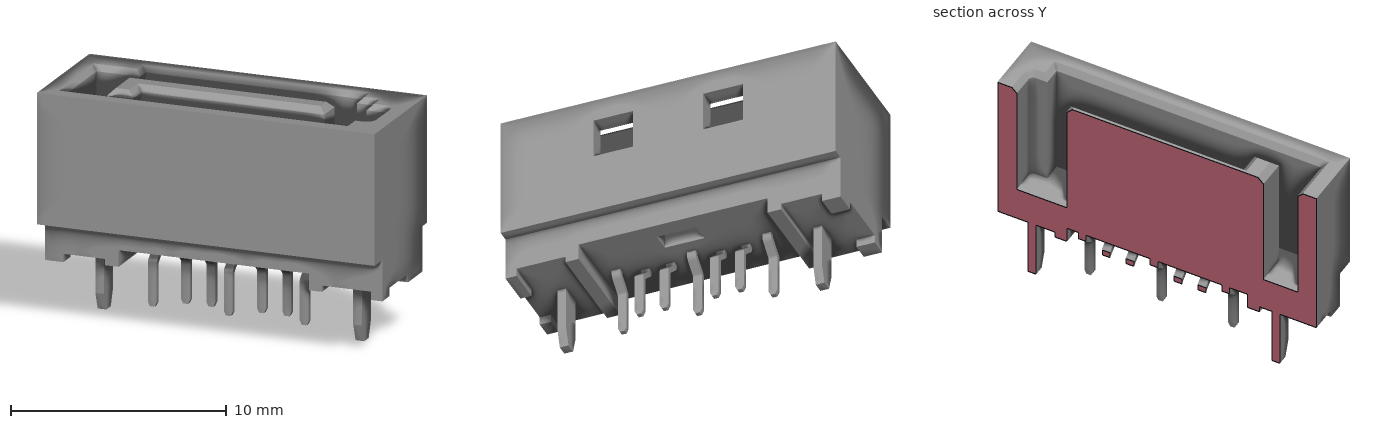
import cadquery as cq
import math


length = 16.9
width = 6.45
rim_z = 8.42
front_ledge_z = 2.01
front_ledge_depth = 0.96
rear_ledge_z = 2.21
rear_ledge_depth = 0.57
front_y = -width / 2
rear_y = width / 2
base_front_y = front_y + front_ledge_depth
base_rear_y = rear_y - rear_ledge_depth

end_relief_z = 0.4
inner_foot_z = 0.1
center_relief_z = 0.91
left_foot_length = 0.93
right_foot_length = 0.55
left_relief_end_x = -5.45
right_relief_start_x = 5.42
center_relief_half = 4.77
foot_gap_front_y = -1.39
left_gap_rear_y = 1.54
right_gap_rear_y = 0.9

floor_z = rear_ledge_z
lead_in = 0.27
cavity_left_x = -7.45
cavity_right_x = 6.55
cavity_front_y = -2.26
cavity_step_y = 1.65
cavity_rear_y = 2.35
rear_bay_left_x = -5.27
rear_bay_right_x = 5.6
rear_shoulder_x = 6.4
key_right_x = 7.42
key_front_y = -1.35
key_rear_y = 0.83
key_radius = 0.24

tongue_left_x = -5.65
tongue_right_x = 4.8
tongue_rear_y = 0.85
tongue_thickness = 1.28
tongue_leg_length = 2.32
tongue_leg_width = 1.28
tongue_chamfer = 0.3

floor_slot_left_x = -0.81
floor_slot_length = 2.0
floor_slot_width = 0.96
window_width = 2.01
window_height = 2.01
window_center_x = 2.77
window_top_z = 7.28

contacts_x = 0.17
contacts_y = -0.27
embed = 0.17

tail_count = 7
tail_pitch = 1.27
tail_width = 0.44
tail_thickness = 0.25
tail_tip_z = -2.1
tail_tip_height = 0.2
tail_tip_inset = 0.1
tail_row_offset = 0.49
tail_jog = 0.75
tail_bend_start_z = 0.68
tail_bend_end_z = 0.05
tail_upper_inner_radius = 0.1
tail_upper_outer_radius = 0.44
tail_lower_radius = 0.19

lock_spacing = 12.91
lock_thickness = 0.44
lock_width = 1.12
lock_tip_width = 0.54
lock_taper_z = -1.79
lock_tip_z = -2.64


def box(x0, x1, y0, y1, z0, z1):
    return cq.Workplane("XY").box(x1 - x0, y1 - y0, z1 - z0, centered=False).translate((x0, y0, z0))


def make_block():
    """Housing block with its stepped end profile, narrower at the base."""
    profile = [
        (base_front_y, 0),
        (base_rear_y, 0),
        (base_rear_y, rear_ledge_z),
        (rear_y, rear_ledge_z),
        (rear_y, rim_z),
        (front_y, rim_z),
        (front_y, front_ledge_z),
        (base_front_y, front_ledge_z),
    ]
    return cq.Workplane("YZ").polyline(profile).close().extrude(length / 2, both=True)


def make_base_reliefs():
    """Material removed under the base to leave four corner feet and two inner feet."""
    left_x = -length / 2
    right_x = length / 2
    left_foot_x = left_x + left_foot_length
    right_foot_x = right_x - right_foot_length
    across = (front_y, rear_y)
    reliefs = box(left_foot_x, left_relief_end_x, *across, 0, end_relief_z)
    reliefs = reliefs.union(box(right_relief_start_x, right_foot_x, *across, 0, end_relief_z))
    reliefs = reliefs.union(box(left_foot_x, right_foot_x, *across, 0, inner_foot_z))
    reliefs = reliefs.union(box(-center_relief_half, center_relief_half, *across, 0, center_relief_z))
    reliefs = reliefs.union(box(left_x, left_foot_x, foot_gap_front_y, left_gap_rear_y, 0, end_relief_z))
    return reliefs.union(box(right_foot_x, right_x, foot_gap_front_y, right_gap_rear_y, 0, end_relief_z))


def make_cavity():
    """Keyed cavity from the rim down to the floor, with a rounded key pocket at its right end."""
    outline = [
        (cavity_left_x, cavity_front_y),
        (cavity_right_x, cavity_front_y),
        (cavity_right_x, key_front_y),
        (key_right_x, key_front_y),
        (key_right_x, key_rear_y),
        (rear_shoulder_x, key_rear_y),
        (rear_shoulder_x, cavity_step_y),
        (rear_bay_right_x, cavity_step_y),
        (rear_bay_right_x, cavity_rear_y),
        (rear_bay_left_x, cavity_rear_y),
        (rear_bay_left_x, cavity_step_y),
        (cavity_left_x, cavity_step_y),
    ]
    shaft = cq.Workplane("XY").workplane(offset=floor_z).polyline(outline).close().extrude(rim_z - floor_z)
    return shaft.edges("|Z and >X").fillet(key_radius)


def add_lead_in(shell):
    """Chamfer the cavity's edges at the rim, leaving the four outer rim edges sharp."""
    return shell.faces(">Z").edges("not (<X or >X or <Y or >Y)").chamfer(lead_in)


def make_tongue():
    """L-shaped tongue rising from the cavity floor to the rim, chamfered around its top."""
    bar_front_y = tongue_rear_y - tongue_thickness
    leg_front_y = tongue_rear_y - tongue_leg_length
    leg_right_x = tongue_left_x + tongue_leg_width
    bottom_z = floor_z - embed
    bar = box(tongue_left_x, tongue_right_x, bar_front_y, tongue_rear_y, bottom_z, rim_z)
    leg = box(tongue_left_x, leg_right_x, leg_front_y, tongue_rear_y, bottom_z, rim_z)
    return bar.union(leg).faces(">Z").chamfer(tongue_chamfer)


def make_openings():
    """Slot through the floor behind the tongue and two windows through the rear wall."""
    openings = box(
        floor_slot_left_x, floor_slot_left_x + floor_slot_length,
        tongue_rear_y, tongue_rear_y + floor_slot_width,
        0, floor_z,
    )
    for center_x in (-window_center_x, window_center_x):
        window = box(
            center_x - window_width / 2, center_x + window_width / 2,
            cavity_rear_y, rear_y,
            window_top_z - window_height, window_top_z,
        )
        openings = openings.union(window)
    return openings


def make_tail(side):
    """Contact tail that jogs toward the +Y row (side = 1) or the -Y row (side = -1), centred on X = 0."""
    half = tail_thickness / 2
    jog_angle = math.atan2(tail_jog, tail_bend_start_z - tail_bend_end_z)
    miter = half * math.tan(jog_angle / 2)
    top_z = center_relief_z + embed
    entry_y = tail_row_offset - tail_jog
    profile = [
        (entry_y - half, top_z),
        (entry_y - half, tail_bend_start_z - miter),
        (tail_row_offset - half, tail_bend_end_z - miter),
        (tail_row_offset - half, tail_tip_z),
        (tail_row_offset + half, tail_tip_z),
        (tail_row_offset + half, tail_bend_end_z + miter),
        (entry_y + half, tail_bend_start_z + miter),
        (entry_y + half, top_z),
    ]
    placed = [(contacts_y + side * y, z) for y, z in profile]
    tail = cq.Workplane("YZ").polyline(placed).close().extrude(tail_width / 2, both=True)

    bends = [
        (profile[1], tail_upper_outer_radius),
        (profile[2], tail_lower_radius),
        (profile[5], tail_lower_radius),
        (profile[6], tail_upper_inner_radius),
    ]
    for (y, z), radius in bends:
        corner = (0, contacts_y + side * y, z)
        tail = tail.edges(cq.selectors.NearestToPointSelector(corner)).fillet(radius)

    half_width = tail_width / 2
    tip_half = half_width - tail_tip_inset
    silhouette = [
        (-half_width, top_z),
        (-half_width, tail_tip_z + tail_tip_height),
        (-tip_half, tail_tip_z),
        (tip_half, tail_tip_z),
        (half_width, tail_tip_z + tail_tip_height),
        (half_width, top_z),
    ]
    return tail.intersect(cq.Workplane("XZ").polyline(silhouette).close().extrude(width, both=True))


def make_board_lock():
    """Flat board lock with a tapered tip, centred on X = 0."""
    half = lock_width / 2
    tip_half = lock_tip_width / 2
    top_z = end_relief_z + embed
    profile = [
        (-half, top_z),
        (-half, lock_taper_z),
        (-tip_half, lock_tip_z),
        (tip_half, lock_tip_z),
        (half, lock_taper_z),
        (half, top_z),
    ]
    blade = cq.Workplane("YZ").polyline(profile).close().extrude(lock_thickness / 2, both=True)
    return blade.translate((0, contacts_y, 0))


shell = make_block().cut(make_base_reliefs()).cut(make_cavity())
result = add_lead_in(shell).union(make_tongue()).cut(make_openings())

for index in range(tail_count):
    tail_x = contacts_x + (index - (tail_count - 1) / 2) * tail_pitch
    side = -1 if index % 3 == 0 else 1
    result = result.union(make_tail(side).translate((tail_x, 0, 0)))

for side in (-1, 1):
    result = result.union(make_board_lock().translate((contacts_x + side * lock_spacing / 2, 0, 0)))